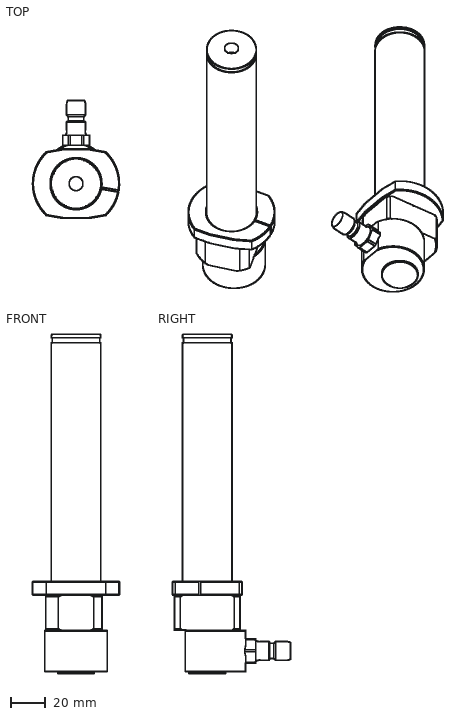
import cadquery as cq
import math


disc_height = 1.0
foot_height = 24.0
block_height = 20.0
clamp_height = 8.0
overall_height = 195.0
foot_top = disc_height + foot_height
block_top = foot_top + block_height

tube_diameter = 28.5
tube_top_round = 1.0
groove_diameter = 27.5
groove_height = 3.0
groove_top = overall_height - 2.0
tube_hole_diameter = 8.0
tube_hole_depth = 8.0

block_diameter = 43.0
block_side_flat = 15.0
block_face_flat = 18.9
block_chamfer = 0.8
flat_tilt = 10.0

disc_diameter = 21.0
foot_diameter = 36.0
foot_offset = 5.2
foot_flat = 22.1
foot_chamfer = 0.5
disc_chamfer = 0.3

nozzle_z = 13.1
hex_across_flats = 14.0
hex_corner_diameter = 15.5
hex_turn = 30.0
hex_end = 27.8
root_diameter = 10.7
root_flare_diameter = 12.2
root_end = 30.05
collar_start = 31.25
collar_end = 35.4
nozzle_diameter = 11.0
neck_diameter = 9.0
neck_start = 36.0
neck_end = 38.3
head_start = 39.45
head_end = 44.75
tip_diameter = 9.6
nozzle_tip = 47.85

clamp_diameter = 50.0
clamp_half_depth = 20.0
clamp_flat_half_width = 7.35
clamp_chamfer = 0.5
clamp_bore_chamfer = 0.7
slit_width = 1.0
slit_angle = -flat_tilt


def cylinder(diameter, bottom, height):
    return cq.Workplane("XY").workplane(offset=bottom).circle(diameter / 2).extrude(height)


def keep_inside_flat(body, distance, direction):
    """Cut away what lies beyond a vertical plane facing the given direction (degrees)."""
    reach = 2 * clamp_diameter
    cutter = (
        cq.Workplane("XY")
        .box(reach, reach, 2 * overall_height, centered=(False, True, True))
        .translate((distance, 0, 0))
        .rotate((0, 0, 0), (0, 0, 1), direction)
    )
    return body.cut(cutter)


def make_tube():
    tube = cylinder(tube_diameter, block_top, overall_height - block_top)
    tube = tube.faces(">Z").edges().fillet(tube_top_round)
    groove_bottom = groove_top - groove_height
    groove = cylinder(tube_diameter, groove_bottom, groove_height).cut(
        cylinder(groove_diameter, groove_bottom, groove_height)
    )
    hole_bottom = overall_height - tube_hole_depth
    hole = cylinder(tube_hole_diameter, hole_bottom, tube_hole_depth)
    return tube.cut(groove).cut(hole)


def make_block():
    block = cylinder(block_diameter, foot_top, block_height).edges().chamfer(block_chamfer)
    flats = [
        (block_side_flat, 0),
        (block_face_flat, 90),
        (block_side_flat, 180 - flat_tilt),
        (block_face_flat, 270),
    ]
    for distance, direction in flats:
        block = keep_inside_flat(block, distance, direction)
    return block


def make_foot():
    foot = cylinder(foot_diameter, disc_height, foot_height).edges().chamfer(foot_chamfer)
    foot = keep_inside_flat(foot.translate((0, foot_offset, 0)), foot_flat, 90)
    disc = cylinder(disc_diameter, 0, disc_height).faces("<Z").edges().chamfer(disc_chamfer)
    return foot.union(disc)


def make_nozzle():
    """Hexagon with turned corners, then the turned stem, both pointing along +Y."""
    seat = foot_flat - foot_chamfer
    base = cq.Workplane("XZ", origin=(0, seat, nozzle_z))
    hex_length = hex_end - seat
    hexagon = base.polygon(6, hex_across_flats, circumscribed=True).extrude(-hex_length)
    hexagon = hexagon.rotate((0, 0, nozzle_z), (0, 1, nozzle_z), hex_turn)
    hexagon = hexagon.intersect(base.circle(hex_corner_diameter / 2).extrude(-hex_length))

    root_radius = root_diameter / 2
    flare_rise = (root_flare_diameter - root_diameter) / 2
    flare_length = root_end - hex_end
    flare_radius = (flare_length**2 + flare_rise**2) / (2 * flare_rise)
    half_sweep = math.asin(flare_length / flare_radius) / 2
    flare_middle = (
        root_radius + flare_radius * (1 - math.cos(half_sweep)),
        root_end - flare_radius * math.sin(half_sweep),
    )
    tip_arc = (
        tip_diameter / 2 + (nozzle_diameter - tip_diameter) / 2 * math.sin(math.pi / 3),
        head_end + (nozzle_tip - head_end) / 2,
    )
    stem = (
        cq.Workplane("XY")
        .moveTo(0, seat)
        .lineTo(root_flare_diameter / 2, seat)
        .lineTo(root_flare_diameter / 2, hex_end)
        .threePointArc(flare_middle, (root_radius, root_end))
        .lineTo(nozzle_diameter / 2, collar_start)
        .lineTo(nozzle_diameter / 2, collar_end)
        .lineTo(neck_diameter / 2, neck_start)
        .lineTo(neck_diameter / 2, neck_end)
        .lineTo(nozzle_diameter / 2, head_start)
        .lineTo(nozzle_diameter / 2, head_end)
        .threePointArc(tip_arc, (tip_diameter / 2, nozzle_tip))
        .lineTo(0, nozzle_tip)
        .close()
        .revolve(360, (0, 0, 0), (0, 1, 0))
        .translate((0, 0, nozzle_z))
    )
    return hexagon.union(stem)


def make_gas_spring():
    return make_foot().union(make_block()).union(make_tube()).union(make_nozzle())


def make_clamp_ring():
    """Round ring with three flats on the front and on the back, slit on one side."""
    tilt = math.radians(flat_tilt)
    tilted_flat = clamp_half_depth * math.cos(tilt) + clamp_flat_half_width * math.sin(tilt)
    ring = cylinder(clamp_diameter, block_top, clamp_height)
    for facing in (90, 270):
        ring = keep_inside_flat(ring, clamp_half_depth, facing)
        for turn in (-flat_tilt, flat_tilt):
            ring = keep_inside_flat(ring, tilted_flat, facing + turn)
    ring = ring.faces("<Z or >Z").edges().chamfer(clamp_chamfer)
    ring = ring.cut(cylinder(tube_diameter, block_top, clamp_height))
    ring = ring.faces(">Z").edges(cq.selectors.RadiusNthSelector(0)).chamfer(clamp_bore_chamfer)
    slit = (
        cq.Workplane("XY", origin=(0, 0, block_top))
        .box(clamp_diameter, slit_width, clamp_height, centered=(False, True, False))
        .rotate((0, 0, 0), (0, 0, 1), slit_angle)
    )
    return ring.cut(slit)


gas_spring = make_gas_spring()
clamp_ring = make_clamp_ring()

result = cq.Compound.makeCompound([gas_spring.val(), clamp_ring.val()])